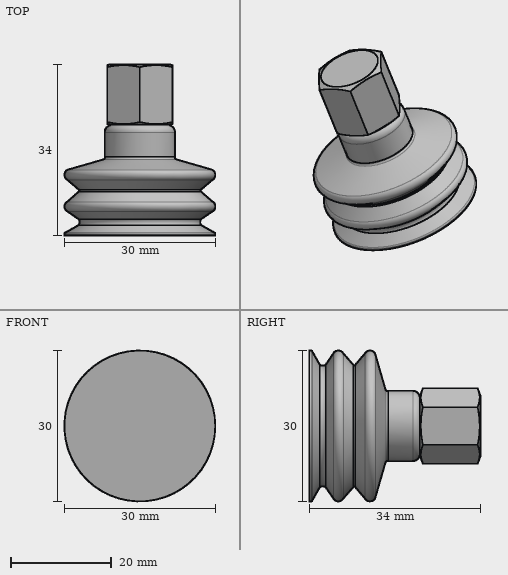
import cadquery as cq
import math

total_length = 34.0

hex_across_flats = 13.0
hex_length = 12.05
hex_corner_radius = hex_across_flats / math.sqrt(3)
hex_end_radius = 6.0
hex_chamfer_length = 0.58
hex_start = total_length - hex_length

neck_radius = 14.0 / 2
neck_fillet = 1.45
neck_flare_start = 15.67
neck_flare_end = 15.15
neck_flare_radius = 7.2

crest_radius = 30.0 / 2
crest_edge_radius = 14.4
crest_half_width = 1.0
lower_crest_y = 5.78
upper_crest_y = 12.05
upper_crest_end = 13.12
upper_crest_end_radius = 14.28
valley_radius = 12.0
valley_edge_radius = 12.17
lower_valley_y = 2.7
lower_valley_half_width = 0.58
upper_valley_y = 8.95
upper_valley_half_width = 0.2

lip_edge = 0.37
lip_arc_end = 0.65
lip_arc_middle = 0.55
lip_arc_middle_radius = 14.93
lip_arc_end_radius = 14.75


def add_arc(profile, middle_y, middle_radius, half_width, edge_radius):
    """Draw a flank up to a crest or valley, then the symmetric arc over it."""
    return profile.lineTo(edge_radius, middle_y - half_width).threePointArc(
        (middle_radius, middle_y), (edge_radius, middle_y + half_width)
    )


def make_cup():
    """Revolve the lip, bellows and neck about the Y axis."""
    profile = cq.Workplane("XY").lineTo(crest_radius, 0).lineTo(crest_radius, lip_edge)
    profile = profile.threePointArc(
        (lip_arc_middle_radius, lip_arc_middle), (lip_arc_end_radius, lip_arc_end)
    )
    profile = add_arc(
        profile, lower_valley_y, valley_radius, lower_valley_half_width, valley_edge_radius
    )
    profile = add_arc(profile, lower_crest_y, crest_radius, crest_half_width, crest_edge_radius)
    profile = add_arc(
        profile, upper_valley_y, valley_radius, upper_valley_half_width, valley_edge_radius
    )
    profile = profile.lineTo(crest_edge_radius, upper_crest_y - crest_half_width)
    profile = profile.threePointArc(
        (crest_radius, upper_crest_y), (upper_crest_end_radius, upper_crest_end)
    )
    profile = profile.lineTo(neck_flare_radius, neck_flare_end)
    profile = profile.tangentArcPoint((neck_radius, neck_flare_start), relative=False)
    profile = profile.lineTo(neck_radius, hex_start - neck_fillet)
    profile = profile.radiusArc((neck_radius - neck_fillet, hex_start), -neck_fillet)
    return profile.lineTo(0, hex_start).close().revolve(360, (0, 0), (0, 1))


def make_hex():
    """Hexagonal prism with corners on the Z axis and conically chamfered ends."""
    corners = [
        (
            hex_corner_radius * math.sin(math.radians(60 * i)),
            hex_corner_radius * math.cos(math.radians(60 * i)),
        )
        for i in range(6)
    ]
    prism = (
        cq.Workplane("XZ", origin=(0, hex_start, 0)).polyline(corners).close().extrude(-hex_length)
    )
    chamfer_envelope = (
        cq.Workplane("XY")
        .moveTo(0, hex_start)
        .lineTo(hex_end_radius, hex_start)
        .lineTo(hex_corner_radius, hex_start + hex_chamfer_length)
        .lineTo(hex_corner_radius, total_length - hex_chamfer_length)
        .lineTo(hex_end_radius, total_length)
        .lineTo(0, total_length)
        .close()
        .revolve(360, (0, 0), (0, 1))
    )
    return prism.intersect(chamfer_envelope)


result = make_cup().union(make_hex())